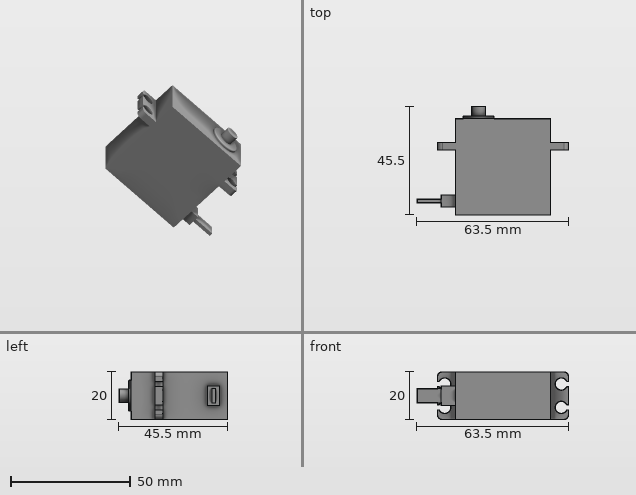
import cadquery as cq

overall_length = 63.5
overall_depth = 45.5

case_length = 40.0
case_depth = 40.45
case_height = 20.0

lug_span = 55.0
lug_thickness = 3.3
lug_setback = 10.0
lug_corner_radius = 2.05
lug_hole_diameter = 5.0
lug_hole_edge_distance = 3.05
lug_hole_spacing = 9.8
lug_slot_width = 2.1

shaft_diameter = 5.8
shaft_offset = 9.8
collar_diameter = 13.0
collar_height = 1.1
collar_fillet = 0.5

cable_width = 6.0
cable_thickness = 1.5
cable_distance_from_back = 5.9
relief_length = 6.0
relief_width = 8.25
relief_thickness = 5.15

case_left = -case_length / 2
cable_end = lug_span / 2 - overall_length
shaft_x = case_left + shaft_offset
lug_y = -lug_setback - lug_thickness / 2
cable_y = -case_depth + cable_distance_from_back


def case():
    return cq.Workplane("XY").box(case_length, case_depth, case_height).translate((0, -case_depth / 2, 0))


def lugs():
    """One plate through the case, with two open-ended screw holes at each end."""
    plate = (
        cq.Workplane("XY")
        .box(lug_span, lug_thickness, case_height)
        .edges("|Y")
        .fillet(lug_corner_radius)
    )
    hole_x = lug_span / 2 - lug_hole_edge_distance
    for side in (-1, 1):
        for level in (-1, 1):
            hole_z = level * lug_hole_spacing / 2
            hole = (
                cq.Workplane("XZ")
                .center(side * hole_x, hole_z)
                .circle(lug_hole_diameter / 2)
                .extrude(lug_thickness, both=True)
            )
            slot_x = side * (hole_x + lug_hole_edge_distance / 2)
            slot = (
                cq.Workplane("XY")
                .box(lug_hole_edge_distance, lug_thickness, lug_slot_width)
                .translate((slot_x, 0, hole_z))
            )
            plate = plate.cut(hole).cut(slot)
    return plate.translate((0, lug_y, 0))


def output_shaft():
    """Round shaft rising in +Y from a collar with a rounded rim."""
    base = cq.Workplane("XZ").center(shaft_x, 0)
    collar = base.circle(collar_diameter / 2).extrude(-collar_height).faces(">Y").edges().fillet(collar_fillet)
    shaft = base.circle(shaft_diameter / 2).extrude(-(overall_depth - case_depth))
    return collar.union(shaft)


def side_block(length, thickness, width):
    """Rectangular block standing out in -X from the left side of the case."""
    return (
        cq.Workplane("XY")
        .box(length, thickness, width)
        .translate((case_left - length / 2, cable_y, 0))
    )


strain_relief = side_block(relief_length, relief_thickness, relief_width)
cable = side_block(case_left - cable_end, cable_thickness, cable_width)

result = case().union(lugs()).union(output_shaft()).union(strain_relief).union(cable)